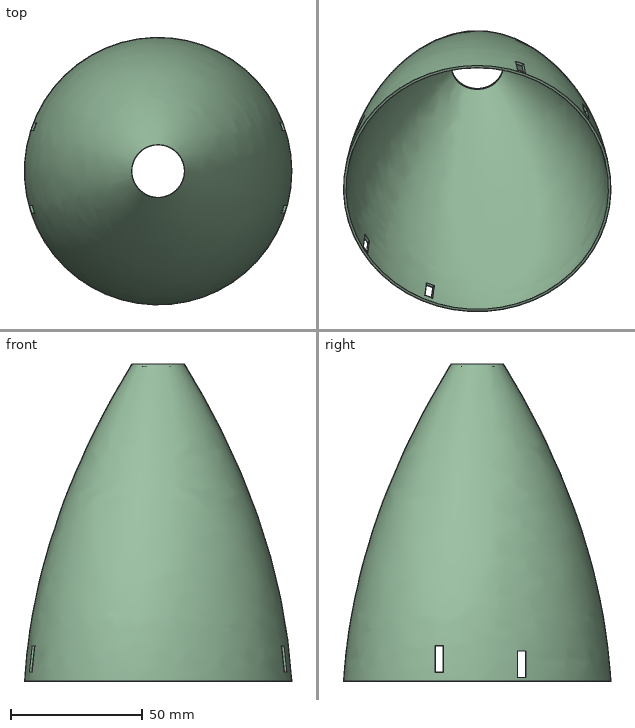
import cadquery as cq

height = 121.0
base_radius = 51.0
base_lean = 0.062

wall = 1.0
tip_hole_diameter = 20.0
tip_radius = tip_hole_diameter / 2

slot_width = 3.0
slot_height = 10.0
slots = [(16.9, 1.5), (-14.5, 3.5)]


def parabolic_cone(radius, cone_height):
    """Solid of revolution with a parabolic flank from the given base radius to the tip radius."""
    base = (radius, 0)
    tip = (tip_radius, cone_height)
    tangent_crossing = (radius - base_lean * cone_height / 2, cone_height / 2)
    profile = (
        cq.Workplane("XZ")
        .lineTo(*base)
        .bezier([base, tangent_crossing, tip])
        .lineTo(0, cone_height)
        .close()
    )
    return profile.revolve(360, (0, 0, 0), (0, 1, 0))


def tip_hole():
    """Upright bore that opens the tip of the shell."""
    return cq.Workplane("XY").circle(tip_hole_diameter / 2).extrude(height)


def slot_cutter(center_y, bottom_z):
    """Bar along X that cuts one slot through opposite walls."""
    bar = cq.Workplane("XY").box(2 * base_radius, slot_width, slot_height, centered=(True, True, False))
    return bar.translate((0, center_y, bottom_z))


outer_cone = parabolic_cone(base_radius, height)
cavity = parabolic_cone(base_radius - wall, height - wall)
result = outer_cone.cut(cavity).cut(tip_hole())
for center_y, bottom_z in slots:
    result = result.cut(slot_cutter(center_y, bottom_z))